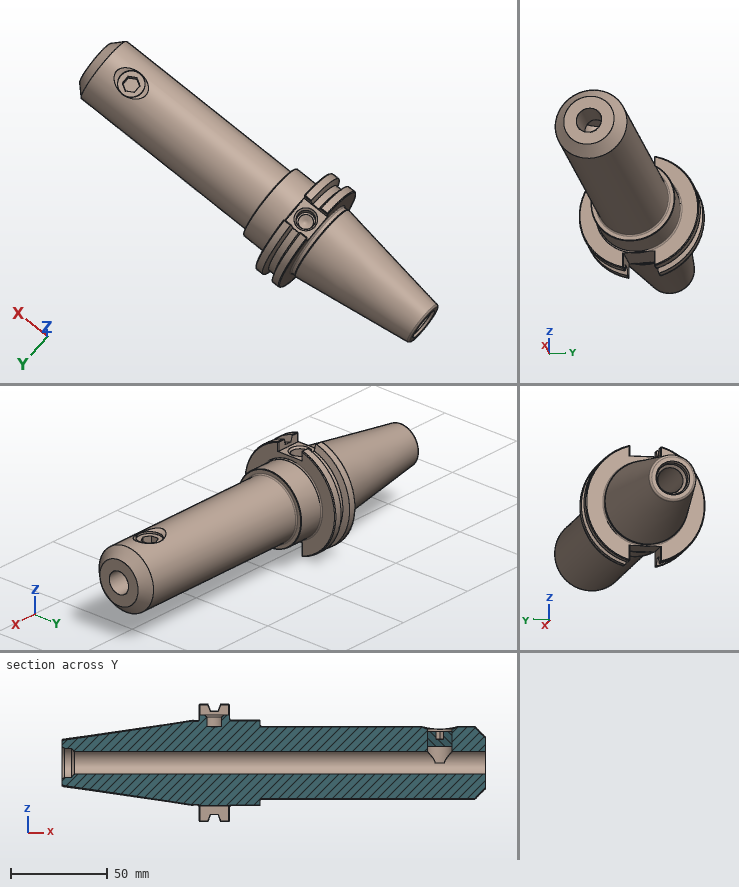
import cadquery as cq
import math


gauge_diameter = 44.45
taper_length = 68.25
taper_ratio = 7 / 24
rear_edge_fillet = 1.2
rear_face_x = -taper_length
rear_diameter = gauge_diameter - taper_ratio * taper_length

relief_diameter = 43.94
relief_start_x = 0.5
root_fillet = 0.7

flange_diameter = 63.5
flange_start_x = 3.18
flange_width = 15.88
flange_end_x = flange_start_x + flange_width
flange_center_x = flange_start_x + flange_width / 2
flange_chamfer = 0.5
groove_root_diameter = 56.36
groove_root_width = 4.0
groove_mouth_width = 6.65
slot_width = 16.28
slot_floor_top = 25.0
slot_floor_bottom = 22.4
cut_margin = 1.0
floor_tolerance = 0.01

dimple_mouth_diameter = 12.3
dimple_diameter = 10.13
dimple_cone_diameter = 8.0
dimple_depth = 6.0
dimple_cone_depth = 2.0

collar_diameter = gauge_diameter
collar_end_x = 35.0
collar_chamfer = 0.3
nose_diameter = 38.1
nose_end_x = 152.4
nose_chamfer = 5.7

through_bore_diameter = 13.39
pilot_bore_diameter = 16.46
pilot_depth = 5.0
mouth_diameter = 17.9
mouth_depth = 1.5

screw_diameter = 14.29
screw_x = 128.5
screw_top_z = 16.4
screw_bottom_z = 8.5
hex_across_flats = 8.0
hex_depth = 4.0
countersink_diameter = 20.0
countersink_depth = 1.5


def cylinder_z(diameter, x, bottom_z, top_z):
    """Upright cylinder at X = x between two heights."""
    return cq.Workplane("XY", origin=(x, 0, bottom_z)).circle(diameter / 2).extrude(top_z - bottom_z)


def cone_z(bottom_diameter, top_diameter, x, bottom_z, top_z):
    """Upright cone or frustum at X = x that flares from bottom_z to top_z."""
    base = cq.Vector(x, 0, bottom_z)
    return cq.Workplane(cq.Solid.makeCone(bottom_diameter / 2, top_diameter / 2, top_z - bottom_z, base))


def revolve_about_x(profile):
    """Turn a closed profile, drawn in the XY plane, about the tool axis."""
    return profile.close().revolve(360, (0, 0, 0), (1, 0, 0))


def make_core():
    """Turned body without the flange: taper, relief neck, collar and nose."""
    gauge_radius = gauge_diameter / 2
    relief_radius = relief_diameter / 2
    collar_radius = collar_diameter / 2
    nose_radius = nose_diameter / 2
    profile = (
        cq.Workplane("XY")
        .moveTo(rear_face_x, 0)
        .lineTo(rear_face_x, rear_diameter / 2)
        .lineTo(0, gauge_radius)
        .lineTo(relief_start_x, relief_radius)
        .lineTo(flange_start_x - root_fillet, relief_radius)
        .radiusArc((flange_start_x, relief_radius + root_fillet), -root_fillet)
        .lineTo(flange_start_x, relief_radius)
        .lineTo(flange_end_x, collar_radius)
        .lineTo(flange_end_x, collar_radius + root_fillet)
        .radiusArc((flange_end_x + root_fillet, collar_radius), -root_fillet)
        .lineTo(collar_end_x - collar_chamfer, collar_radius)
        .lineTo(collar_end_x, collar_radius - collar_chamfer)
        .lineTo(collar_end_x, nose_radius + root_fillet)
        .radiusArc((collar_end_x + root_fillet, nose_radius), -root_fillet)
        .lineTo(nose_end_x - nose_chamfer, nose_radius)
        .lineTo(nose_end_x, nose_radius - nose_chamfer)
        .lineTo(nose_end_x, 0)
    )
    return revolve_about_x(profile).faces("<X").edges().fillet(rear_edge_fillet)


def make_drive_slot(side, floor):
    """Cutter for one drive slot; side is +1 for the upper slot and -1 for the lower."""
    height = flange_diameter / 2 + cut_margin - floor
    return (
        cq.Workplane("XY")
        .box(flange_width, slot_width, height)
        .translate((flange_center_x, 0, side * (floor + height / 2)))
    )


def make_v_groove():
    """Cutter for the V groove around the rim of the flange."""
    rim_radius = flange_diameter / 2
    root_radius = groove_root_diameter / 2
    profile = cq.Workplane("XY").polyline([
        (flange_center_x - groove_mouth_width / 2, rim_radius),
        (flange_center_x - groove_root_width / 2, root_radius),
        (flange_center_x + groove_root_width / 2, root_radius),
        (flange_center_x + groove_mouth_width / 2, rim_radius),
        (flange_center_x + groove_mouth_width / 2, rim_radius + cut_margin),
        (flange_center_x - groove_mouth_width / 2, rim_radius + cut_margin),
    ])
    return revolve_about_x(profile)


def is_flange_outer_edge(edge):
    """True for every edge of the slotted flange except those around the slot floors."""
    on_upper_floor = abs(edge.Center().z - slot_floor_top) < floor_tolerance
    on_lower_floor = abs(edge.Center().z + slot_floor_bottom) < floor_tolerance
    return not (on_upper_floor or on_lower_floor)


def make_flange():
    flange = (
        cq.Workplane("YZ", origin=(flange_start_x, 0, 0))
        .circle(flange_diameter / 2)
        .extrude(flange_width)
    )
    for side, floor in ((1, slot_floor_top), (-1, slot_floor_bottom)):
        flange = flange.cut(make_drive_slot(side, floor))
    rim_and_wall_edges = flange.edges().filter(is_flange_outer_edge)
    flange = rim_and_wall_edges.chamfer(flange_chamfer)
    return flange.cut(make_v_groove())


def make_dimple():
    """Cutter for the chamfered blind hole with a conical bottom."""
    chamfer_z = slot_floor_top - (dimple_mouth_diameter - dimple_diameter) / 2
    floor_z = slot_floor_top - dimple_depth
    tip_z = floor_z - dimple_cone_depth
    mouth = cone_z(dimple_diameter, dimple_mouth_diameter, flange_center_x, chamfer_z, slot_floor_top)
    wall = cylinder_z(dimple_diameter, flange_center_x, floor_z, chamfer_z)
    tip = cone_z(0, dimple_cone_diameter, flange_center_x, tip_z, floor_z)
    return mouth.union(wall).union(tip)


def make_bore():
    """Cutter for the through bore with its rear pilot and flared mouth."""
    bore_radius = through_bore_diameter / 2
    pilot_radius = pilot_bore_diameter / 2
    pilot_end_x = rear_face_x + pilot_depth
    step_end_x = pilot_end_x + pilot_radius - bore_radius
    profile = cq.Workplane("XY").polyline([
        (rear_face_x, 0),
        (rear_face_x, mouth_diameter / 2),
        (rear_face_x + mouth_depth, pilot_radius),
        (pilot_end_x, pilot_radius),
        (step_end_x, bore_radius),
        (nose_end_x, bore_radius),
        (nose_end_x, 0),
    ])
    return revolve_about_x(profile)


def make_screw_hole():
    """Cutter for the set screw hole, from the axis up through its countersink."""
    nose_top_z = nose_diameter / 2
    sink_floor_z = nose_top_z - countersink_depth
    hole = cylinder_z(screw_diameter, screw_x, 0, nose_top_z)
    sink = cone_z(screw_diameter, countersink_diameter, screw_x, sink_floor_z, nose_top_z)
    return hole.union(sink)


def make_holder():
    holder = make_core().union(make_flange())
    return holder.cut(make_bore()).cut(make_dimple()).cut(make_screw_hole())


def make_set_screw():
    """Headless screw with a hexagon socket whose corners point along Y."""
    hex_across_corners = hex_across_flats / math.cos(math.radians(30))
    screw = cylinder_z(screw_diameter, screw_x, screw_bottom_z, screw_top_z)
    socket = (
        cq.Workplane("XY", origin=(screw_x, 0, screw_top_z))
        .transformed(rotate=(0, 0, 90))
        .polygon(6, hex_across_corners)
        .extrude(-hex_depth)
    )
    return screw.cut(socket)


holder = make_holder()
set_screw = make_set_screw()
result = cq.Compound.makeCompound([holder.val(), set_screw.val()])